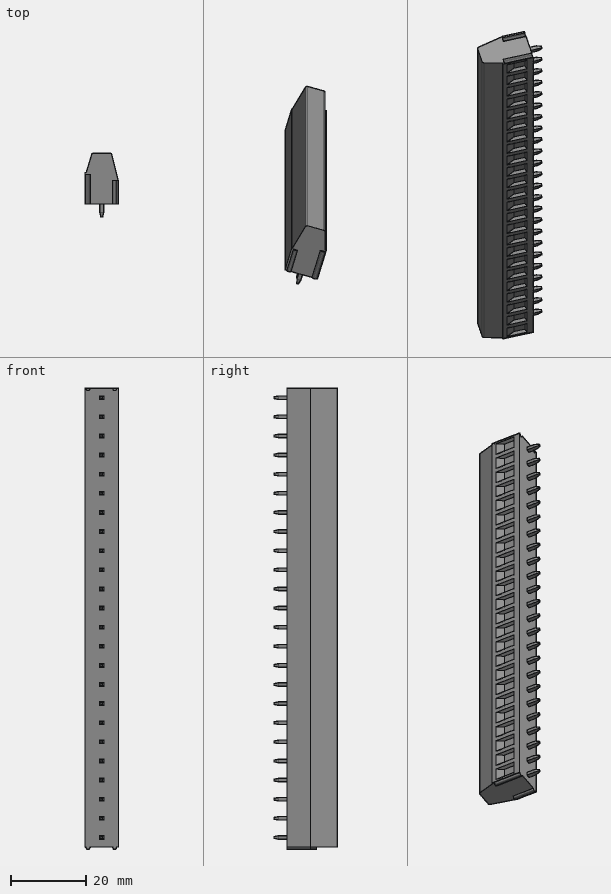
import cadquery as cq

POLE_COUNT = 24
PITCH = 5.08
BODY_LENGTH = POLE_COUNT * PITCH

BODY_WIDTH = 9.0
BODY_HEIGHT = 13.5
HALF_WIDTH = BODY_WIDTH / 2
CROWN_HALF_WIDTH = 2.6
WIRE_SHOULDER_Y = 8.4
WIRE_SHOULDER_DEPTH = 0.35
BACK_SHOULDER_Y = 6.2
BACK_SHOULDER_DEPTH = 0.1
CROWN_ROUNDING = 0.5

POCKET_FRONT_Y = 1.7
POCKET_BACK_Y = 7.3
POCKET_HEIGHT = 3.7
POCKET_DEPTH = 0.8
POCKET_WALL_INSET = 0.45
POCKET_RAMP_LENGTH = 2.15

RAIL_HEIGHT = 0.6
RAIL_ROUNDING = 0.2
WIRE_RAIL_X = (-4.35, -2.95, -3.95, -3.35)
WIRE_RAIL_LENGTH = 7.9
BACK_RAIL_X = (2.85, 4.0, 3.1, 3.8)
BACK_RAIL_LENGTH = BACK_SHOULDER_Y

PIN_WIDTH = 1.1
PIN_THICKNESS = 1.0
PIN_LENGTH = 3.5
PIN_TIP_LENGTH = 1.3
PIN_TIP_WIDTH = 0.5


def make_housing():
    """Block tapering to a rounded crown, with a small shoulder on each side."""
    block = (
        cq.Workplane("XY")
        .moveTo(-HALF_WIDTH, 0)
        .lineTo(HALF_WIDTH, 0)
        .lineTo(HALF_WIDTH, BACK_SHOULDER_Y)
        .lineTo(HALF_WIDTH - BACK_SHOULDER_DEPTH, BACK_SHOULDER_Y)
        .lineTo(CROWN_HALF_WIDTH, BODY_HEIGHT)
        .lineTo(-CROWN_HALF_WIDTH, BODY_HEIGHT)
        .lineTo(-HALF_WIDTH + WIRE_SHOULDER_DEPTH, WIRE_SHOULDER_Y)
        .lineTo(-HALF_WIDTH, WIRE_SHOULDER_Y)
        .close()
        .extrude(BODY_LENGTH)
    )
    return block.faces(">Y").edges("|Z").fillet(CROWN_ROUNDING)


def make_rail(rail_x, length, top_z):
    """Wedge along Y hanging below top_z, narrowing to a rounded bottom."""
    root_left, root_right, tip_left, tip_right = rail_x
    bottom_z = top_z - RAIL_HEIGHT
    return (
        cq.Workplane("XZ")
        .moveTo(root_left, top_z)
        .lineTo(root_right, top_z)
        .lineTo(tip_right, bottom_z)
        .lineTo(tip_left, bottom_z)
        .close()
        .extrude(-length)
        .faces("<Z")
        .edges("|Y")
        .fillet(RAIL_ROUNDING)
    )


def make_pocket(pole_z):
    """Shallow drafted pocket whose far side is a long ramp up to the wire face."""
    mouth_length = POCKET_BACK_Y - POCKET_FRONT_Y
    floor_front_y = POCKET_FRONT_Y + POCKET_WALL_INSET
    floor_back_y = POCKET_BACK_Y - POCKET_RAMP_LENGTH
    mouth_center_y = POCKET_FRONT_Y + mouth_length / 2
    floor_center_y = (floor_front_y + floor_back_y) / 2
    return (
        cq.Workplane("YZ", origin=(-HALF_WIDTH, 0, pole_z))
        .center(mouth_center_y, 0)
        .rect(mouth_length, POCKET_HEIGHT)
        .workplane(offset=POCKET_DEPTH)
        .center(floor_center_y - mouth_center_y, 0)
        .rect(floor_back_y - floor_front_y, POCKET_HEIGHT - 2 * POCKET_WALL_INSET)
        .loft(ruled=True)
    )


def make_pin(pole_z):
    """Rectangular solder pin with a tapered tip."""
    shank_length = PIN_LENGTH - PIN_TIP_LENGTH
    shank = (
        cq.Workplane("XZ", origin=(0, 0, pole_z))
        .rect(PIN_WIDTH, PIN_THICKNESS)
        .extrude(shank_length)
    )
    tip = (
        cq.Workplane("XZ", origin=(0, -shank_length, pole_z))
        .rect(PIN_WIDTH, PIN_THICKNESS)
        .workplane(offset=PIN_TIP_LENGTH)
        .rect(PIN_TIP_WIDTH, PIN_TIP_WIDTH)
        .loft(ruled=True)
    )
    return shank.union(tip)


body = make_housing()
for rail_x, rail_length in ((WIRE_RAIL_X, WIRE_RAIL_LENGTH), (BACK_RAIL_X, BACK_RAIL_LENGTH)):
    body = body.cut(make_rail(rail_x, rail_length, BODY_LENGTH))
    body = body.union(make_rail(rail_x, rail_length, 0))

for pole in range(POLE_COUNT):
    pole_z = (pole + 0.5) * PITCH
    body = body.cut(make_pocket(pole_z))
    body = body.union(make_pin(pole_z))

result = body